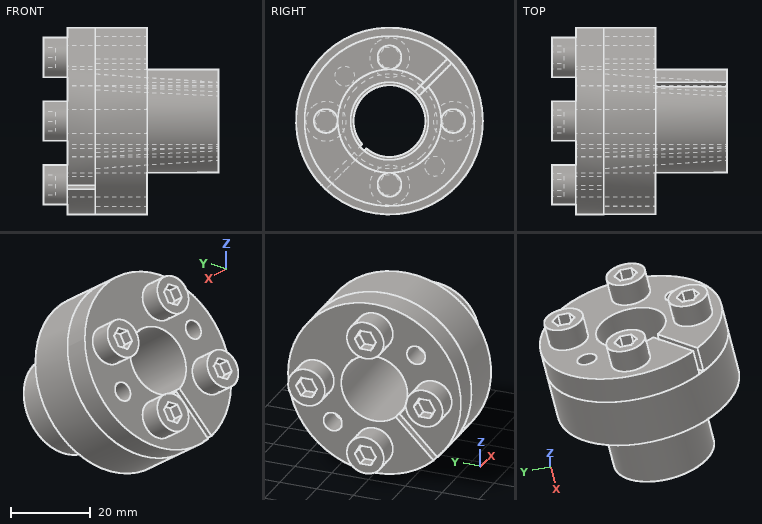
import cadquery as cq
import math


outer_diameter = 47.0
bore_diameter = 18.0
sleeve_diameter = 26.0
collar_diameter = 42.7
taper_front_diameter = 23.8
taper_rear_diameter = 19.55
flange_thickness = 7.0
spacer_length = 13.0
sleeve_extension = 17.95
slit_width = 1.5
inner_slit_angle = 225.0
sleeve_slit_angle = inner_slit_angle - 180.0

pitch_diameter = 32.0
screw_count = 4
head_diameter = 10.0
head_height = 6.0
shank_diameter = 6.0
socket_across_flats = 5.0
socket_depth = 3.0
jack_hole_diameter = 5.0
jack_hole_angles = (135.0, 315.0)

collar_front = flange_thickness
collar_rear = collar_front + spacer_length
rear_end = collar_rear + sleeve_extension
shank_length = collar_rear

screw_angles = [i * 360.0 / screw_count for i in range(screw_count)]


def cylinder(diameter, start, length):
    """Cylinder centred on the X axis."""
    return cq.Workplane("YZ", origin=(start, 0, 0)).circle(diameter / 2).extrude(length)


def on_pitch_circle(shape, angle):
    """Move a shape from the X axis out to the pitch circle."""
    radius = pitch_diameter / 2
    turn = math.radians(angle)
    return shape.translate((0, radius * math.cos(turn), radius * math.sin(turn)))


def taper():
    """Solid cone frustum that fills the tapered seat of the sleeve."""
    outline = [
        (collar_front, 0),
        (collar_front, taper_front_diameter / 2),
        (rear_end, taper_rear_diameter / 2),
        (rear_end, 0),
    ]
    return cq.Workplane("XY").polyline(outline).close().revolve(360, (0, 0, 0), (1, 0, 0))


def slit(angle):
    """Slot running the full length, from the axis outwards in one direction."""
    slot = cq.Workplane("XY").box(rear_end, outer_diameter, slit_width, centered=(False, False, True))
    return slot.rotate((0, 0, 0), (1, 0, 0), angle)


def make_inner_ring():
    """Flange with a tapered neck, bored and slit over the full length."""
    ring = cylinder(outer_diameter, 0, flange_thickness).union(taper())
    ring = ring.cut(cylinder(bore_diameter, 0, rear_end))
    ring = ring.cut(slit(inner_slit_angle))
    for angle in screw_angles:
        ring = ring.cut(on_pitch_circle(cylinder(shank_diameter, 0, flange_thickness), angle))
    for angle in jack_hole_angles:
        ring = ring.cut(on_pitch_circle(cylinder(jack_hole_diameter, 0, flange_thickness), angle))
    return ring


def make_sleeve():
    """Slit sleeve with a tapered seat and a front collar that takes the screws."""
    sleeve = cylinder(collar_diameter, collar_front, spacer_length)
    sleeve = sleeve.union(cylinder(sleeve_diameter, collar_front, rear_end - collar_front))
    sleeve = sleeve.cut(taper()).cut(slit(sleeve_slit_angle))
    for angle in screw_angles:
        sleeve = sleeve.cut(on_pitch_circle(cylinder(shank_diameter, 0, shank_length), angle))
    return sleeve


def make_spacer_ring():
    """Plain ring around the collar of the sleeve."""
    ring = cylinder(outer_diameter, collar_front, spacer_length)
    return ring.cut(cylinder(collar_diameter, collar_front, spacer_length))


def make_screw(angle):
    """Socket head screw, its head standing on the flange."""
    socket_across_corners = socket_across_flats / math.cos(math.pi / 6)
    socket = (
        cq.Workplane("YZ", origin=(-head_height, 0, 0))
        .polygon(6, socket_across_corners)
        .extrude(socket_depth)
    )
    screw = cylinder(head_diameter, -head_height, head_height)
    screw = screw.union(cylinder(shank_diameter, 0, shank_length)).cut(socket)
    return on_pitch_circle(screw, angle)


inner_ring = make_inner_ring()
sleeve = make_sleeve()
spacer_ring = make_spacer_ring()
screws = [make_screw(angle) for angle in screw_angles]

result = cq.Compound.makeCompound([
    inner_ring.val(),
    sleeve.val(),
    spacer_ring.val(),
    *[screw.val() for screw in screws],
])